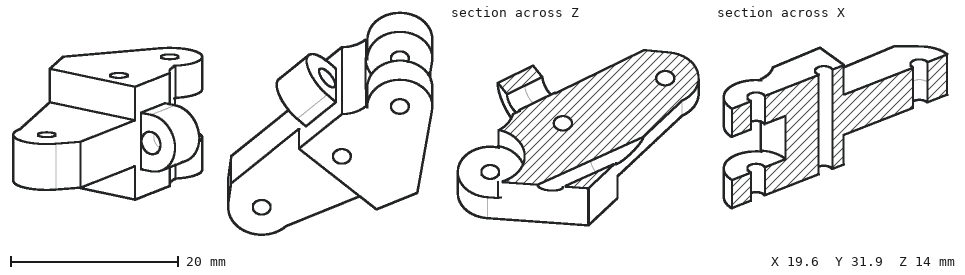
import cadquery as cq
import math

body_height = 14.0
tab_height = 5.7
slot_height = 6.0

pin_diameter = 2.12
upper_pin = (0.0, 10.0)
middle_pin = (0.0, 0.0)
lower_pin = (-0.16, -14.0)

upper_lobe_radius = 3.875
lower_lobe_radius = 4.0
slot_radius = 4.08
step_y = -2.72

left_x = -10.13
left_flat_bottom = 2.32
left_flat_top = 2.42

corner_reach = 5.01
right_top = (4.23, 4.44)
right_bottom = (lower_pin[0] + corner_reach, lower_pin[1])

hollow_angle = math.radians(-46.0)
hollow_ledge = 0.25
hollow_middle = (3.22, 5.93)

side_hole_diameter = 1.75
side_hole_x = -7.52

lug_radius = 3.5
lug_thickness = 5.0
lug_hole_diameter = 2.75
lug_reach = 1.5
lug_root_depth = 2.0
lug_middle_y = 0.95


def on_circle(center, radius, angle):
    """Point on a circle at an angle in radians."""
    return (
        center[0] + radius * math.cos(angle),
        center[1] + radius * math.sin(angle),
    )


def tangent_angle(point, center, radius):
    """Angle where a line from the point touches the circle, clockwise of the point."""
    dx = point[0] - center[0]
    dy = point[1] - center[1]
    return math.atan2(dy, dx) - math.acos(radius / math.hypot(dx, dy))


def make_profile():
    """Full-height prism of the whole outline."""
    left_top = (left_x, left_flat_top)
    upper_start = tangent_angle(left_top, upper_pin, upper_lobe_radius)
    upper_start %= 2 * math.pi
    upper_middle = (upper_start + hollow_angle) / 2
    hollow_corner = on_circle(upper_pin, upper_lobe_radius, hollow_angle)
    hollow_start = (hollow_corner[0] + hollow_ledge, hollow_corner[1])
    lower_start = tangent_angle(right_bottom, lower_pin, lower_lobe_radius)
    lower_end = -math.pi
    lower_middle = (lower_start + lower_end) / 2
    return (
        cq.Workplane("XY")
        .workplane(offset=-body_height / 2)
        .moveTo(left_x, left_flat_bottom)
        .lineTo(*left_top)
        .lineTo(*on_circle(upper_pin, upper_lobe_radius, upper_start))
        .threePointArc(on_circle(upper_pin, upper_lobe_radius, upper_middle), hollow_corner)
        .lineTo(*hollow_start)
        .threePointArc(hollow_middle, right_top)
        .lineTo(*right_bottom)
        .lineTo(*on_circle(lower_pin, lower_lobe_radius, lower_start))
        .threePointArc(
            on_circle(lower_pin, lower_lobe_radius, lower_middle),
            on_circle(lower_pin, lower_lobe_radius, lower_end),
        )
        .close()
        .extrude(body_height)
    )


def cut_steps(body):
    """Remove material above and below the lower tab."""
    cut_width = 4 * abs(left_x)
    cut_length = 2 * abs(lower_pin[1])
    cut_height = (body_height - tab_height) / 2
    for side in (1, -1):
        center_z = side * (tab_height + cut_height) / 2
        step = cq.Workplane("XY").box(cut_width, cut_length, cut_height)
        body = body.cut(step.translate((0, step_y - cut_length / 2, center_z)))
    return body


def cut_slot(body):
    """Round slot that makes room for a mating tab in the upper lobe."""
    slot = (
        cq.Workplane("XY")
        .center(*upper_pin)
        .circle(slot_radius)
        .extrude(slot_height / 2, both=True)
    )
    return body.cut(slot)


def make_lug():
    """Round-nosed lug with its cross hole, rooted inside the body."""
    edge_dx = right_top[0] - right_bottom[0]
    edge_dy = right_top[1] - right_bottom[1]
    tilt = math.degrees(math.atan2(-edge_dx, edge_dy))
    edge_x = right_bottom[0] + edge_dx * (lug_middle_y - right_bottom[1]) / edge_dy
    root_length = lug_reach + lug_root_depth
    root = (
        cq.Workplane("XY")
        .box(root_length, lug_thickness, 2 * lug_radius)
        .translate((-root_length / 2, 0, 0))
    )
    nose = cq.Workplane("XZ").circle(lug_radius).extrude(lug_thickness / 2, both=True)
    hole = cq.Workplane("XZ").circle(lug_hole_diameter / 2).extrude(lug_thickness, both=True)
    return (
        root.union(nose)
        .cut(hole)
        .translate((lug_reach, 0, 0))
        .rotate((0, 0, 0), (0, 0, 1), tilt)
        .translate((edge_x, lug_middle_y, 0))
    )


def cut_holes(body):
    """Vertical pin holes and the left-side hole along Y."""
    pins = (
        cq.Workplane("XY")
        .pushPoints([upper_pin, middle_pin, lower_pin])
        .circle(pin_diameter / 2)
        .extrude(body_height, both=True)
    )
    side_hole = (
        cq.Workplane("XZ")
        .center(side_hole_x, 0)
        .circle(side_hole_diameter / 2)
        .extrude(abs(lower_pin[1]), both=True)
    )
    return body.cut(pins).cut(side_hole)


body = cut_slot(cut_steps(make_profile()))
result = cut_holes(body).union(make_lug())